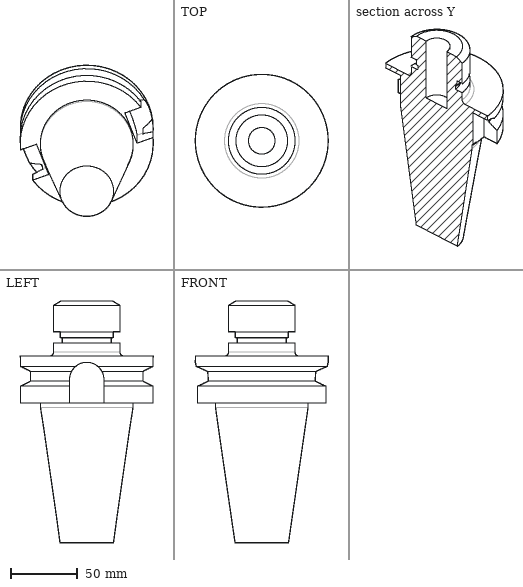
import cadquery as cq

total_height = 181.8
taper_top = 101.8
flange_bottom = 104.9
flange_top = 140.3
nut_bottom = 158.5
hub_top = 150.2
collar_bottom = 153.8

taper_small_radius = 20.2
taper_large_radius = 34.9
flange_radius = 50.0
groove_radius = 42.4
hub_radius = 25.0
neck_radius = 18.5
collar_radius = 20.0
nut_radius = 25.0
nut_top_radius = 19.5
bore_radius = 10.0

groove_floor_bottom = 121.5
groove_floor_top = 128.7
groove_wall_rise = 3.8

nut_chamfer_height = 3.5
collar_chamfer = 0.5
hub_fillet = 2.9

slot_width = 25.8
slot_top = 135.6
slot_floor_distance = 35.5
bore_depth = 54.5


def make_body():
    """Revolve the taper, grooved flange, hub, neck and nut about Z."""
    fillet_centre_radius = hub_radius + hub_fillet
    fillet_centre_height = flange_top + hub_fillet
    diagonal = hub_fillet * 0.5 ** 0.5
    fillet_middle = (fillet_centre_radius - diagonal, fillet_centre_height - diagonal)
    return (
        cq.Workplane("XZ")
        .lineTo(taper_small_radius, 0)
        .lineTo(taper_large_radius, taper_top)
        .lineTo(taper_large_radius, flange_bottom)
        .lineTo(flange_radius, flange_bottom)
        .lineTo(flange_radius, groove_floor_bottom - groove_wall_rise)
        .lineTo(groove_radius, groove_floor_bottom)
        .lineTo(groove_radius, groove_floor_top)
        .lineTo(flange_radius, groove_floor_top + groove_wall_rise)
        .lineTo(flange_radius, flange_top)
        .lineTo(fillet_centre_radius, flange_top)
        .threePointArc(fillet_middle, (hub_radius, fillet_centre_height))
        .lineTo(hub_radius, hub_top)
        .lineTo(neck_radius, hub_top)
        .lineTo(neck_radius, collar_bottom)
        .lineTo(collar_radius - collar_chamfer, collar_bottom)
        .lineTo(collar_radius, collar_bottom + collar_chamfer)
        .lineTo(collar_radius, nut_bottom)
        .lineTo(nut_radius, nut_bottom)
        .lineTo(nut_radius, total_height - nut_chamfer_height)
        .lineTo(nut_top_radius, total_height)
        .lineTo(0, total_height)
        .close()
        .revolve(360, (0, 0, 0), (0, 1, 0))
    )


def make_drive_slot():
    """Round-topped cutter, open below the flange, on the +X side."""
    half_width = slot_width / 2
    arc_start_height = slot_top - half_width
    return (
        cq.Workplane("YZ", origin=(slot_floor_distance, 0, 0))
        .moveTo(-half_width, flange_bottom)
        .lineTo(half_width, flange_bottom)
        .lineTo(half_width, arc_start_height)
        .threePointArc((0, slot_top), (-half_width, arc_start_height))
        .close()
        .extrude(flange_radius)
    )


def make_bore():
    """Blind collet bore entering from the nut face."""
    return (
        cq.Workplane("XY", origin=(0, 0, total_height - bore_depth))
        .circle(bore_radius)
        .extrude(bore_depth)
    )


result = make_body().cut(make_bore())
for side_angle in (0, 180):
    slot = make_drive_slot().rotate((0, 0, 0), (0, 0, 1), side_angle)
    result = result.cut(slot)